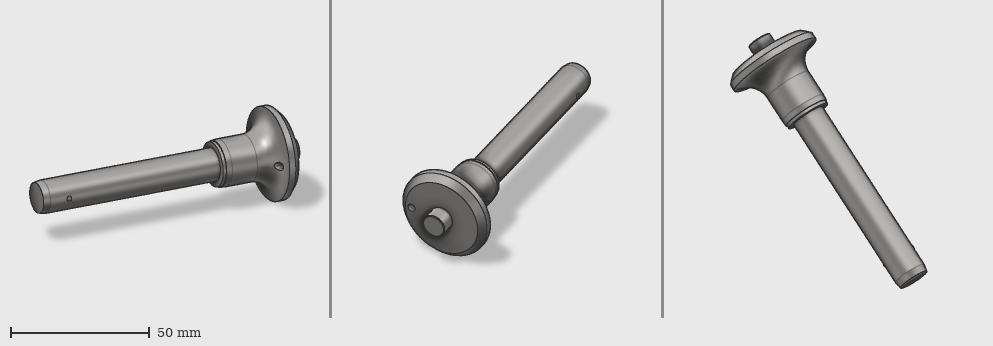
import cadquery as cq

total_length = 104.2

button_radius = 4.5
head_radius = 17.5
neck_radius = 8.9
taper_end_radius = 8.6
collar_radius = 8.3
shank_radius = 6.1
tip_radius = 5.6

button_length = 5.8
button_chamfer = 0.3
head_chamfer = 2.5
rim_width = 2.5
flare_radius = head_radius - neck_radius
neck_length = 10.1
taper_length = 2.2
collar_length = 1.3
tip_length = 2.6

lanyard_hole_diameter = 3.0
lanyard_hole_offset = 12.5

ball_radius = 2.1
ball_protrusion = 0.2
ball_distance_from_tip = 10.1

button_end = total_length / 2
head_back = button_end - button_length
rim_back = head_back - head_chamfer
rim_front = rim_back - rim_width
flare_end = rim_front - flare_radius
neck_end = flare_end - neck_length
taper_end = neck_end - taper_length
collar_end = taper_end - collar_length
tip_end = -total_length / 2
tip_start = tip_end + tip_length


def make_body():
    """Revolve the half profile of button, handle and shank around Y."""
    diagonal = flare_radius / 2**0.5
    flare_middle = (head_radius - diagonal, flare_end + diagonal)
    return (
        cq.Workplane("XY")
        .moveTo(0, button_end)
        .lineTo(button_radius - button_chamfer, button_end)
        .lineTo(button_radius, button_end - button_chamfer)
        .lineTo(button_radius, head_back)
        .lineTo(head_radius - head_chamfer, head_back)
        .lineTo(head_radius, rim_back)
        .lineTo(head_radius, rim_front)
        .threePointArc(flare_middle, (neck_radius, flare_end))
        .lineTo(neck_radius, neck_end)
        .lineTo(taper_end_radius, taper_end)
        .lineTo(collar_radius, taper_end)
        .lineTo(collar_radius, collar_end)
        .lineTo(shank_radius, collar_end)
        .lineTo(shank_radius, tip_start)
        .lineTo(tip_radius, tip_end)
        .lineTo(0, tip_end)
        .close()
        .revolve(360, (0, 0, 0), (0, 1, 0))
    )


def make_lanyard_hole():
    """Cylinder passing through the head, parallel to the pin axis."""
    return (
        cq.Workplane("XZ", origin=(lanyard_hole_offset, head_back, 0))
        .circle(lanyard_hole_diameter / 2)
        .extrude(head_back - flare_end)
    )


def make_ball(side):
    """Sphere standing slightly proud of the shank, on the given side (-1 or 1) along X."""
    ball_y = tip_end + ball_distance_from_tip
    ball_x = side * (shank_radius + ball_protrusion - ball_radius)
    return cq.Workplane("XY").sphere(ball_radius).translate((ball_x, ball_y, 0))


result = make_body().cut(make_lanyard_hole())
for side in (-1, 1):
    result = result.union(make_ball(side))